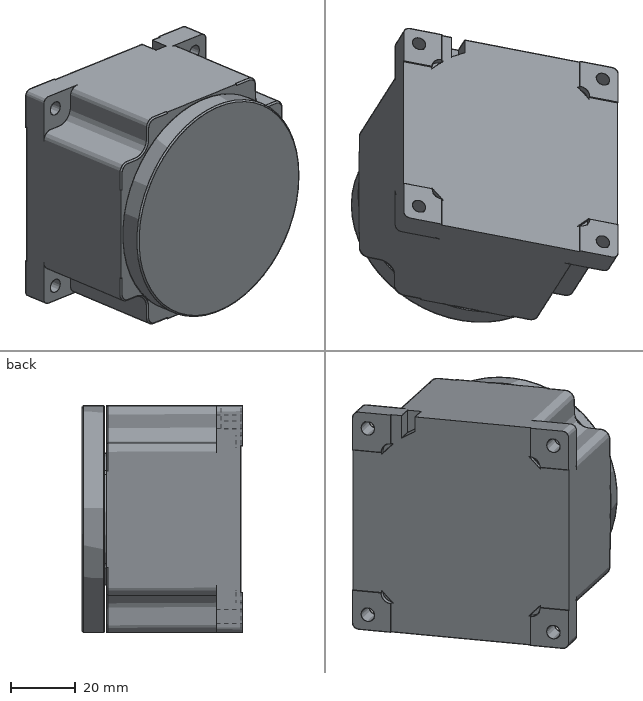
import cadquery as cq
import math

side = 70.0
half_side = side / 2
total_length = 49.5

body_end = 42.0
pad_height = 0.5
pad_inner_edge = 22.6
flange_end = 8.05
flange_corner_radius = 2.0
body_edge_chamfer = 0.5
plain_edge_half_width = 14.9
mount_hole_diameter = 4.3
mount_hole_offset = 30.0

notch_rib_radius = 3.0
notch_wall = 23.5
notch_floor_radius = 5.0
notch_arc_centre = notch_wall + notch_floor_radius
notch_start = notch_wall - notch_rib_radius
rib_arc_centre = half_side - notch_rib_radius

pocket_diameter = 6.2
pocket_depth = 1.5
pocket_chord_offset = 1.75

slot_inner_edge = 14.9
slot_width = 4.35
slot_outer_edge = slot_inner_edge + slot_width
slot_end = 6.6
slot_shallow_floor = 30.3
slot_floor_angle = 30.0

boss_diameter = 40.75
boss_scallop_diameter = 2.5
boss_scallop_circle_radius = 21.2

disc_start = 42.5
disc_diameter = 70.0
disc_rear_chamfer = 0.35
disc_front_chamfer = 0.5

quarter_turns = [0, 90, 180, 270]


def box_between(x_range, y_range, z_range):
    """Box that fills the given ranges along X, Y and Z."""
    sizes = [end - start for start, end in (x_range, y_range, z_range)]
    corner = (x_range[0], y_range[0], z_range[0])
    return cq.Workplane("XY").box(*sizes, centered=False).translate(corner)


def at_four_corners(shape):
    """Copies of a shape turned about X into each corner."""
    return [shape.rotate((0, 0, 0), (1, 0, 0), angle) for angle in quarter_turns]


def cylinder_along_x(start, end, diameter, y=0.0, z=0.0):
    """Cylinder parallel to X."""
    return cq.Workplane("YZ", origin=(start, y, z)).circle(diameter / 2).extrude(end - start)


def make_notch():
    """Corner clearance behind the flange: convex ribs joined to a concave floor."""
    diagonal = math.sqrt(0.5)
    rib_arc_middle = notch_rib_radius * diagonal
    floor_arc_middle = notch_arc_centre - notch_floor_radius * diagonal
    return (
        cq.Workplane("YZ", origin=(flange_end, 0, 0))
        .moveTo(half_side, notch_start)
        .threePointArc(
            (rib_arc_centre + rib_arc_middle, notch_start + rib_arc_middle),
            (rib_arc_centre, notch_wall),
        )
        .lineTo(notch_arc_centre, notch_wall)
        .threePointArc((floor_arc_middle, floor_arc_middle), (notch_wall, notch_arc_centre))
        .lineTo(notch_wall, rib_arc_centre)
        .threePointArc(
            (notch_start + rib_arc_middle, rib_arc_centre + rib_arc_middle),
            (notch_start, half_side),
        )
        .lineTo(half_side, half_side)
        .close()
        .extrude(body_end - flange_end)
    )


def make_block():
    """Flange and notched main block, with the end edges chamfered around each notch."""
    block = (
        box_between((0, body_end), (-half_side, half_side), (-half_side, half_side))
        .edges("|X")
        .fillet(flange_corner_radius)
    )
    for notch in at_four_corners(make_notch()):
        block = block.cut(notch)
    chamfered = block.faces(">X").chamfer(body_edge_chamfer)

    end_range = (body_end - body_edge_chamfer, body_end)
    sides = (-half_side, half_side)
    middle = (-plain_edge_half_width, plain_edge_half_width)
    chamfered = chamfered.union(box_between(end_range, sides, middle))
    return chamfered.union(box_between(end_range, middle, sides))


def cut_rear_recess(body):
    """Lower the rear face except for a square pad in each corner."""
    depth = (0, pad_height)
    sides = (-half_side, half_side)
    middle = (-pad_inner_edge, pad_inner_edge)
    return body.cut(box_between(depth, sides, middle)).cut(box_between(depth, middle, sides))


def cut_pad_pockets(body):
    """Round off the inner corner of each pad and sink a half-moon pocket beyond a chord."""
    relief = cylinder_along_x(0, pad_height, pocket_diameter, pad_inner_edge, pad_inner_edge)
    pocket_end = pad_height + pocket_depth
    pocket = cylinder_along_x(0, pocket_end, pocket_diameter, pad_inner_edge, pad_inner_edge)
    beyond_chord = (
        box_between(
            (0, pocket_end),
            (pocket_chord_offset, pocket_diameter),
            (-pocket_diameter, pocket_diameter),
        )
        .rotate((0, 0, 0), (1, 0, 0), 45)
        .translate((0, pad_inner_edge, pad_inner_edge))
    )
    for cutter in at_four_corners(relief.union(pocket.intersect(beyond_chord))):
        body = body.cut(cutter)
    return body


def cut_mount_holes(body):
    """Drill the flange in each corner."""
    hole = cylinder_along_x(0, flange_end, mount_hole_diameter, mount_hole_offset, mount_hole_offset)
    for cutter in at_four_corners(hole):
        body = body.cut(cutter)
    return body


def cut_cable_slot(body):
    """Cut a slot with a sloping floor into the top edge."""
    floor_drop = slot_width * math.tan(math.radians(slot_floor_angle))
    slot = (
        cq.Workplane("YZ")
        .polyline(
            [
                (slot_inner_edge, half_side),
                (slot_inner_edge, slot_shallow_floor),
                (slot_outer_edge, slot_shallow_floor - floor_drop),
                (slot_outer_edge, half_side),
            ]
        )
        .close()
        .extrude(slot_end)
    )
    return body.cut(slot)


def make_boss():
    """Round boss that spaces the disc from the body, scalloped on the diagonals."""
    boss = cylinder_along_x(body_end, disc_start, boss_diameter)
    scallop_offset = boss_scallop_circle_radius * math.sqrt(0.5)
    scallop = cylinder_along_x(
        body_end, disc_start, boss_scallop_diameter, scallop_offset, scallop_offset
    )
    for cutter in at_four_corners(scallop):
        boss = boss.cut(cutter)
    return boss


def make_body():
    """Square body with its flange, recesses, holes and boss."""
    body = make_block()
    body = cut_rear_recess(body)
    body = cut_pad_pockets(body)
    body = cut_mount_holes(body)
    body = cut_cable_slot(body)
    return body.union(make_boss())


def make_disc():
    """Round disc with both rims chamfered."""
    return (
        cylinder_along_x(disc_start, total_length, disc_diameter)
        .faces("<X")
        .chamfer(disc_rear_chamfer)
        .faces(">X")
        .chamfer(disc_front_chamfer)
    )


body = make_body()
disc = make_disc()

result = cq.Compound.makeCompound([body.val(), disc.val()])